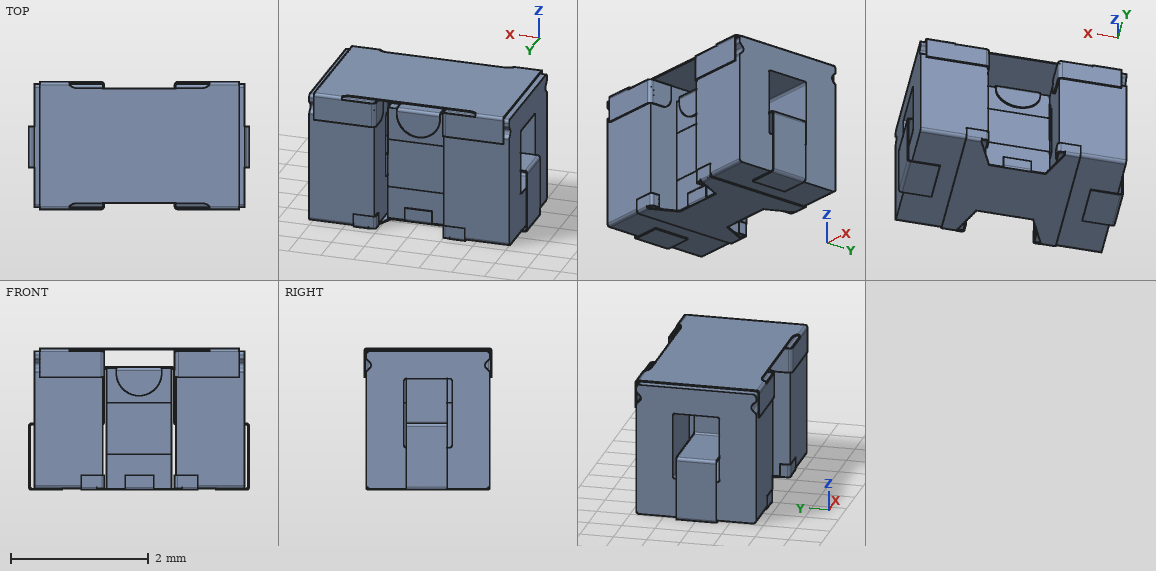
import cadquery as cq
import math

SHEET = 0.02
BEND_INNER = 0.025

HOUSING_SHIFT_X = 0.006

BLOCK_X = 1.0
BLOCK_Y = 1.80
BLOCK_Z = 2.0
BLOCK_INNER_X = 0.53
BLOCK_EDGE_RADIUS = 0.05
GROOVE_MIDDLE_Z = 1.815
GROOVE_HALF_MOUTH = 0.095
GROOVE_DEPTH = 0.072
GROOVE_MOUTH_RADIUS = 0.023
WINDOW_Y = 0.7
WINDOW_BOTTOM = 0.615
WINDOW_TOP = 1.62
WINDOW_RADIUS = 0.035

CORE_X = 0.95
CORE_Y = 0.89
CORE_LEVELS = (SHEET, 0.517, 1.267, 1.77)

RIBBON_LENGTH = 3.21
RIBBON_WIDTH = 0.6
RIBBON_SHIFT_Y = -0.02
RIBBON_SHELF_Z = 0.97
RIBBON_FOOT_END_X = 1.12
RIBBON_TAB_FACE_Y = 0.502
RIBBON_TAB_RADIUS = 0.33
RIBBON_TAB_END_Z = 1.37

COVER_X = 2.9
COVER_Y = 1.86
COVER_TOP = 2.06
COVER_ARM_BOTTOM = 1.642
COVER_CORNER_BEND_INNER = 0.035
COVER_FOLD_START_X = 1.02
COVER_WAIST_X = 0.9
COVER_WAIST_Y = 1.67
COVER_FLANGE_END_Y = 0.53
COVER_FLANGE_RADIUS = 0.15

PLATE_BEND_INNER = 0.02
TAB_TOP = 0.215
PLATE_END_X = 0.85
PLATE_FOLD_START_X = 0.62
PLATE_WAIST_X = 0.42
PLATE_FLANGE_END_Y = 0.75
PLATE_MIDDLE_TAB_X = 0.415

WRAP_MID_X = BLOCK_INNER_X - SHEET / 2


def bent_sheet(plane, path, start, end, bend_inner=BEND_INNER):
    """Sheet whose middle line follows a right-angled path, extruded between two offsets along
    the plane's normal, with every corner of the path bent."""
    bend_mid = bend_inner + SHEET / 2

    def side(shift):
        steps = []
        for a, b in zip(path, path[1:]):
            length = math.hypot(b[0] - a[0], b[1] - a[1])
            steps.append(((b[0] - a[0]) / length, (b[1] - a[1]) / length))
        first, last = steps[0], steps[-1]
        points = [(path[0][0] - shift * first[1], path[0][1] + shift * first[0])]
        for corner, d, e in zip(path[1:-1], steps, steps[1:]):
            turn = d[0] * e[1] - d[1] * e[0]
            radius = bend_mid - turn * shift
            centre = [corner[i] + bend_mid * (e[i] - d[i]) for i in (0, 1)]
            middle = [(d[i] - e[i]) / math.sqrt(2) for i in (0, 1)]
            for direction in ([-e[0], -e[1]], middle, d):
                points.append(tuple(centre[i] + radius * direction[i] for i in (0, 1)))
        points.append((path[-1][0] - shift * last[1], path[-1][1] + shift * last[0]))
        return points

    def trace(outline, points):
        for i in range(1, len(points) - 1, 3):
            outline = outline.lineTo(*points[i]).threePointArc(points[i + 1], points[i + 2])
        return outline.lineTo(*points[-1])

    left = side(SHEET / 2)
    right = side(-SHEET / 2)[::-1]
    outline = trace(cq.Workplane(plane).moveTo(*left[0]), left)
    outline = trace(outline.lineTo(*right[0]), right).close()
    normal = cq.Plane.named(plane).zDir
    return outline.extrude(end - start).translate(normal * start)


def box(x, y, z):
    """Box between (low, high) pairs along each axis."""
    sizes = [high - low for low, high in (x, y, z)]
    return cq.Workplane("XY").box(*sizes, centered=False).translate((x[0], y[0], z[0]))


def four_quarters(quarter):
    """Quarter together with its mirror images across X = 0 and Y = 0."""
    half = quarter.union(quarter.mirror("YZ"))
    return half.union(half.mirror("XZ")).clean()


def groove(side):
    """Groove along X in one side face: 45 degree flanks blended by a round floor."""
    floor_radius = (GROOVE_HALF_MOUTH - GROOVE_DEPTH) / (math.sqrt(2) - 1)
    reach = floor_radius / math.sqrt(2)
    face = BLOCK_Y / 2
    tangent_y = face - (GROOVE_HALF_MOUTH - reach)
    z = GROOVE_MIDDLE_Z
    return (
        cq.Workplane("YZ")
        .moveTo(side * face, z + GROOVE_HALF_MOUTH)
        .lineTo(side * tangent_y, z + reach)
        .threePointArc((side * (face - GROOVE_DEPTH), z), (side * tangent_y, z - reach))
        .lineTo(side * face, z - GROOVE_HALF_MOUTH)
        .close()
        .extrude(BLOCK_X)
        .translate((BLOCK_INNER_X, 0, 0))
    )


def tab_recess():
    """Recess for the bottom plate's tab at the inner corner of the block on the -Y side."""
    face = -BLOCK_Y / 2
    backing = box((BLOCK_INNER_X, BLOCK_INNER_X + BLOCK_X), (face + SHEET, 0), (SHEET, BLOCK_Z))
    backing = backing.edges("(|Z and <X and <Y) or (|X and <Y and <Z)").fillet(PLATE_BEND_INNER)
    pocket = box((0, PLATE_END_X), (face - SHEET, face + SHEET + PLATE_BEND_INNER), (0, TAB_TOP))
    return pocket.cut(backing)


def make_end_block():
    """End block on the +X side."""
    block = (
        box(
            (BLOCK_INNER_X, BLOCK_INNER_X + BLOCK_X),
            (-BLOCK_Y / 2, BLOCK_Y / 2),
            (SHEET, SHEET + BLOCK_Z),
        )
        .edges("|X")
        .fillet(BLOCK_EDGE_RADIUS)
    )
    window = (
        box(
            (BLOCK_INNER_X, BLOCK_INNER_X + BLOCK_X),
            (-WINDOW_Y / 2, WINDOW_Y / 2),
            (WINDOW_BOTTOM, WINDOW_TOP),
        )
        .edges("|X")
        .fillet(WINDOW_RADIUS)
    )
    recess = tab_recess()
    block = block.cut(window).cut(groove(1)).cut(groove(-1))
    for side in (1, -1):
        for z in (GROOVE_MIDDLE_Z - GROOVE_HALF_MOUTH, GROOVE_MIDDLE_Z + GROOVE_HALF_MOUTH):
            mouth_edge = (BLOCK_INNER_X + BLOCK_X / 2, side * BLOCK_Y / 2, z)
            block = block.edges(cq.selectors.NearestToPointSelector(mouth_edge))
            block = block.fillet(GROOVE_MOUTH_RADIUS)
    return block.cut(recess).cut(recess.mirror("XZ"))


def make_core(bottom, top):
    """One slab of the stack."""
    return box((-CORE_X / 2, CORE_X / 2), (-CORE_Y / 2, CORE_Y / 2), (bottom, top))


def ribbon_tab():
    """Tab with a round end, folded down in front of the core."""
    top_mid = CORE_LEVELS[-1] + SHEET / 2
    face_mid = -RIBBON_TAB_FACE_Y + SHEET / 2
    radius = RIBBON_TAB_RADIUS
    path = [(0, top_mid), (face_mid, top_mid), (face_mid, RIBBON_TAB_END_Z)]
    strip = bent_sheet("YZ", path, -radius, radius)
    outline = (
        cq.Workplane("XZ")
        .moveTo(-radius, COVER_TOP)
        .lineTo(-radius, RIBBON_TAB_END_Z + radius)
        .threePointArc((0, RIBBON_TAB_END_Z), (radius, RIBBON_TAB_END_Z + radius))
        .lineTo(radius, COVER_TOP)
        .close()
        .extrude(RIBBON_TAB_FACE_Y)
    )
    return strip.intersect(outline)


def make_ribbon():
    """Strip from foot to foot, passing through both windows and over the stack."""
    foot_z = SHEET / 2
    outer_x = RIBBON_LENGTH / 2 - SHEET / 2
    shelf_z = RIBBON_SHELF_Z - SHEET / 2
    riser_x = WRAP_MID_X - HOUSING_SHIFT_X
    top_z = CORE_LEVELS[-1] + SHEET / 2
    right = [
        (riser_x, top_z),
        (riser_x, shelf_z),
        (outer_x, shelf_z),
        (outer_x, foot_z),
        (RIBBON_FOOT_END_X, foot_z),
    ]
    left = [(-x, z) for x, z in reversed(right)]
    strip = bent_sheet("XZ", left + right, -RIBBON_WIDTH / 2, RIBBON_WIDTH / 2)
    tab = ribbon_tab()
    ribbon = strip.union(tab).union(tab.mirror("XZ"))
    return ribbon.translate((0, RIBBON_SHIFT_Y, 0))


def make_cover():
    """Sheet with four arms folded down and wrapped round the blocks' inner corners."""
    top_mid = COVER_TOP - SHEET / 2
    arm_mid = -COVER_Y / 2 + SHEET / 2
    bend_outer = BEND_INNER + SHEET
    fold_y = -COVER_Y / 2 + bend_outer
    end_x = COVER_X / 2
    sheet_quarter = (
        cq.Workplane("XY")
        .moveTo(0, 0)
        .lineTo(0, -COVER_WAIST_Y / 2)
        .lineTo(COVER_WAIST_X, -COVER_WAIST_Y / 2)
        .tangentArcPoint((COVER_FOLD_START_X, fold_y), relative=False)
        .lineTo(end_x, fold_y)
        .lineTo(end_x, 0)
        .close()
        .extrude(SHEET)
        .translate((0, 0, COVER_TOP - SHEET))
    )
    fold_path = [(0, top_mid), (arm_mid, top_mid), (arm_mid, COVER_ARM_BOTTOM)]
    fold = bent_sheet("YZ", fold_path, COVER_FOLD_START_X, end_x)
    arm_path = [(end_x, arm_mid), (WRAP_MID_X, arm_mid), (WRAP_MID_X, -COVER_FLANGE_END_Y)]
    arm_top = COVER_TOP - bend_outer
    arm = bent_sheet("XY", arm_path, COVER_ARM_BOTTOM, arm_top, COVER_CORNER_BEND_INNER)
    arm = arm.edges("|X and >Y and <Z").fillet(COVER_FLANGE_RADIUS)
    return four_quarters(sheet_quarter.union(fold).union(arm))


def make_bottom_plate():
    """Plate with tabs folded up against the stack and round the blocks' inner corners."""
    mid_z = SHEET / 2
    core_face = -CORE_Y / 2
    fold_y = -BLOCK_Y / 2 + SHEET + PLATE_BEND_INNER
    tab_mid = -BLOCK_Y / 2 + SHEET / 2
    middle_tab_mid = core_face - SHEET / 2
    sheet_quarter = (
        cq.Workplane("XY")
        .polyline(
            [
                (0, 0),
                (0, core_face),
                (PLATE_WAIST_X, core_face),
                (PLATE_FOLD_START_X, fold_y),
                (PLATE_END_X, fold_y),
                (PLATE_END_X, 0),
            ]
        )
        .close()
        .extrude(SHEET)
    )
    fold_path = [(core_face, mid_z), (tab_mid, mid_z), (tab_mid, TAB_TOP)]
    fold = bent_sheet("YZ", fold_path, PLATE_FOLD_START_X, PLATE_END_X, PLATE_BEND_INNER)
    wall = sheet_quarter.union(fold)
    fold_top = SHEET + PLATE_BEND_INNER
    for end_x, low, high in (
        (PLATE_END_X, fold_top, TAB_TOP),
        (PLATE_FOLD_START_X, SHEET, fold_top),
    ):
        path = [(end_x, tab_mid), (WRAP_MID_X, tab_mid), (WRAP_MID_X, -PLATE_FLANGE_END_Y)]
        wall = wall.union(bent_sheet("XY", path, low, high, PLATE_BEND_INNER))
    middle_path = [(0, mid_z), (middle_tab_mid, mid_z), (middle_tab_mid, TAB_TOP)]
    middle_tab = bent_sheet("YZ", middle_path, 0, PLATE_MIDDLE_TAB_X / 2, PLATE_BEND_INNER)
    return four_quarters(wall.union(middle_tab))


housing_shift = (HOUSING_SHIFT_X, 0, 0)
ribbon = make_ribbon()
cover = make_cover().translate(housing_shift)
bottom_plate = make_bottom_plate().translate(housing_shift)

right_block = make_end_block()
end_blocks = [
    block.translate(housing_shift).cut(cover)
    for block in (right_block, right_block.mirror("YZ"))
]
cores = [
    make_core(low, high).cut(ribbon).cut(bottom_plate)
    for low, high in zip(CORE_LEVELS, CORE_LEVELS[1:])
]

bodies = [*end_blocks, *cores, ribbon, cover, bottom_plate]
result = cq.Compound.makeCompound([body.solids().val() for body in bodies])